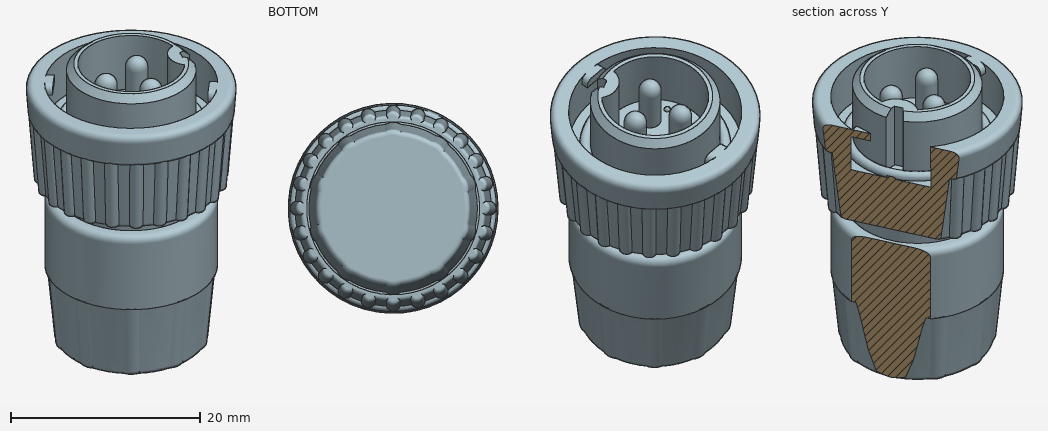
import cadquery as cq

total_height = 33.72
body_bottom = 8.8
body_top = 17.67
nut_bottom = 19.4
rim_bottom = 27.65
nut_top = 31.33

cap_top_radius = 8.9
cap_bottom_radius = 8.1
cap_edge_radius = 0.55
cap_rib_count = 10
first_cap_rib_angle = -90.0
cap_rib_radius = 1.7
cap_rib_height = 0.17

body_radius = 9.15
body_edge_radius = 0.78
neck_radius = 7.62

nut_rim_radius = 11.1
nut_taper = 0.075
nut_bore_radius = 9.15
nut_floor = 26.05
rim_top_edge_radius = 0.7
rim_lower_edge_radius = 0.47
nut_rib_count = 24
nut_rib_radius = 0.78
nut_rib_inset = 0.05
groove_depth = 0.5
nut_bottom_edge_radius = 0.37

lug_count = 2
lug_angle = 67.5
lug_width = 2.95
lug_end_radius = 0.75
lug_depth = 1.0
lug_inner_radius = 8.23
lug_root = 0.35

seal_centre_radius = 7.4
seal_section_radius = 0.6
seal_height = 26.15

tube_radius = 6.85
tube_bore_radius = 5.63
tube_floor = 27.05
tube_chamfer = 0.78
key_radius = 2.33
key_centre = 6.47
keyway_inner_radius = 5.55
keyway_outer_width = 2.02
keyway_inner_width = 0.95

pin_count = 3
first_pin_angle = 30.0
pin_radius = 1.18
pin_circle_radius = 2.8
pin_tip = 32.85
pin_root = 0.35
mark_radius = 0.35
mark_x = 4.4
mark_y = 0.15


def cylinder(radius, bottom, top):
    return cq.Workplane("XY").workplane(offset=bottom).circle(radius).extrude(top - bottom)


def cone(bottom_radius, top_radius, bottom, top):
    height = top - bottom
    solid = cq.Solid.makeCone(bottom_radius, top_radius, height, cq.Vector(0, 0, bottom))
    return cq.Workplane(solid)


def tapered_rib(rib_radius, bottom_crest, slope, bottom, top, edge_radius):
    """Round rib at +X, leaning outward by `slope`, with level ends and a rounded lower edge.

    Its outermost line starts at radius `bottom_crest` on the height `bottom`.
    """
    overshoot = rib_radius
    axis_radius = bottom_crest - rib_radius
    start = cq.Vector(axis_radius - slope * overshoot, 0, bottom - overshoot)
    end = cq.Vector(axis_radius + slope * (top - bottom + overshoot), 0, top + overshoot)
    axis = end - start
    rod = cq.Solid.makeCylinder(rib_radius, axis.Length, start, axis)
    rod = cq.Workplane(rod.rotate(start, end, 180))
    rib = rod.intersect(cylinder(bottom_crest + top - bottom, bottom, top))
    return rib.faces("<Z").edges().fillet(edge_radius)


def add_around(base, feature, count, first_angle=0.0):
    for i in range(count):
        angle = first_angle + i * 360.0 / count
        base = base.union(feature.rotate((0, 0, 0), (0, 0, 1), angle))
    return base


def nut_radius(z):
    """Radius of the tapered envelope of the nut at height z."""
    return nut_rim_radius - nut_taper * (nut_top - rim_top_edge_radius - z)


def make_cap():
    core = cone(cap_bottom_radius, cap_top_radius, 0, body_bottom)
    core = core.faces("<Z").edges().fillet(cap_edge_radius)
    slope = (cap_top_radius - cap_bottom_radius) / body_bottom
    crest = cap_bottom_radius + cap_rib_height
    rib = tapered_rib(cap_rib_radius, crest, slope, 0, body_bottom, cap_edge_radius)
    return add_around(core, rib, cap_rib_count, first_angle=first_cap_rib_angle)


def make_body():
    body = cylinder(body_radius, body_bottom, body_top).faces(">Z").edges().fillet(body_edge_radius)
    return body.union(cylinder(neck_radius, body_top, nut_bottom))


def make_lug():
    """Lug at +X, flush with the mouth of the nut, its two upper ends rounded."""
    length = nut_bore_radius + lug_root - lug_inner_radius
    lug = (
        cq.Workplane("XY")
        .box(length, lug_width, lug_depth, centered=(False, True, False))
        .translate((lug_inner_radius, 0, nut_top - lug_depth))
    )
    lug = lug.edges(">Z and |X").fillet(lug_end_radius)
    return lug.cut(cylinder(lug_inner_radius, nut_floor, nut_top))


def make_nut():
    rim = cone(nut_radius(rim_bottom), nut_radius(nut_top), rim_bottom, nut_top)
    rim = rim.faces(">Z").edges().fillet(rim_top_edge_radius)
    rim = rim.faces("<Z").edges().fillet(rim_lower_edge_radius)

    core_bottom_radius = nut_radius(nut_bottom) - groove_depth
    core_top_radius = nut_radius(rim_bottom) - groove_depth
    core = cone(core_bottom_radius, core_top_radius, nut_bottom, rim_bottom)
    core = core.faces("<Z").edges().fillet(nut_bottom_edge_radius)

    crest = nut_radius(nut_bottom) - nut_rib_inset
    rib_top = rim_bottom + rim_lower_edge_radius
    rib = tapered_rib(nut_rib_radius, crest, nut_taper, nut_bottom, rib_top, nut_bottom_edge_radius)

    nut = add_around(core.union(rim), rib, nut_rib_count)
    nut = nut.cut(cylinder(nut_bore_radius, nut_floor, nut_top))
    return add_around(nut, make_lug(), lug_count, first_angle=lug_angle)


def make_tube():
    tube = cylinder(tube_radius, nut_floor, total_height).faces(">Z").edges().chamfer(tube_chamfer)
    bore = cylinder(tube_bore_radius, tube_floor, total_height)
    key = cylinder(key_radius, tube_floor, total_height).translate((0, key_centre, 0))
    tube = tube.cut(bore.cut(key))

    keyway = (
        cq.Workplane("XY", origin=(0, 0, nut_floor))
        .moveTo(-keyway_inner_width / 2, keyway_inner_radius)
        .lineTo(keyway_inner_width / 2, keyway_inner_radius)
        .lineTo(keyway_outer_width / 2, tube_radius)
        .lineTo(-keyway_outer_width / 2, tube_radius)
        .close()
        .extrude(total_height - nut_floor)
    )
    return tube.cut(keyway)


def make_pin():
    shank_top = pin_tip - pin_radius
    tip = cq.Workplane("XY").sphere(pin_radius).translate((0, 0, shank_top))
    pin = cylinder(pin_radius, tube_floor - pin_root, shank_top).union(tip)
    return pin.translate((pin_circle_radius, 0, 0))


seal = cq.Workplane(
    cq.Solid.makeTorus(seal_centre_radius, seal_section_radius, cq.Vector(0, 0, seal_height))
)
mark = cq.Workplane("XY").sphere(mark_radius).translate((mark_x, mark_y, tube_floor))

result = make_cap().union(make_body()).union(make_nut()).union(make_tube()).union(seal)
result = add_around(result, make_pin(), pin_count, first_angle=first_pin_angle)
result = result.union(mark)